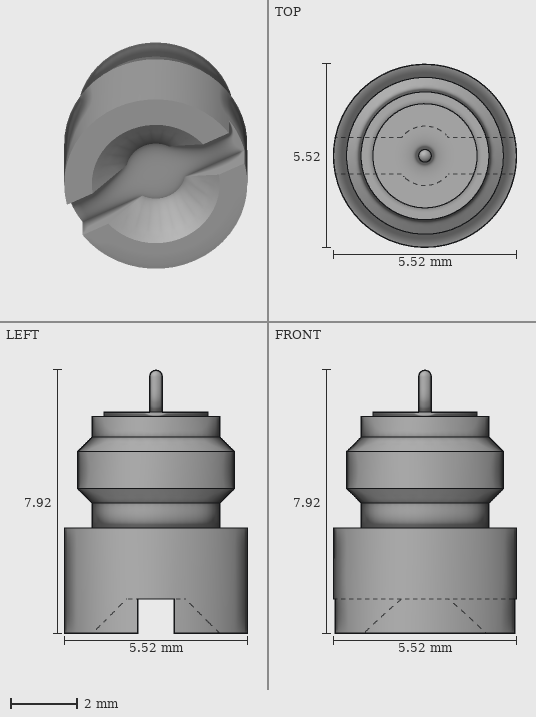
import cadquery as cq

body_radius = 2.76
neck_radius = 1.925
collar_radius = 2.36
insulator_radius = 1.57
pin_radius = 0.19

body_top = 3.175
collar_bottom = 3.92
collar_top = 5.91
neck_top = 6.535
insulator_top = 6.66
pin_top = 7.92

slot_width = 1.09
slot_height = 1.03

recess_mouth_radius = 1.925
recess_floor_radius = recess_mouth_radius - slot_height

shoulder = collar_radius - neck_radius


def cylinder(radius, bottom, top):
    return cq.Workplane("XY").workplane(offset=bottom).circle(radius).extrude(top - bottom)


body = cylinder(body_radius, 0, body_top)
neck = cylinder(neck_radius, body_top, neck_top)
collar = cylinder(collar_radius, collar_bottom, collar_top).edges().chamfer(shoulder)
insulator = cylinder(insulator_radius, neck_top, insulator_top)

pin_shaft = cylinder(pin_radius, insulator_top, pin_top - pin_radius)
pin_tip = cq.Workplane("XY").sphere(pin_radius).translate((0, 0, pin_top - pin_radius))

slot = cq.Workplane("XY").box(
    2 * body_radius, slot_width, slot_height, centered=(True, True, False)
)

recess = cq.Workplane("XY").add(
    cq.Solid.makeCone(recess_mouth_radius, recess_floor_radius, slot_height)
)

body = body.cut(slot).cut(recess)
pin = pin_shaft.union(pin_tip)
result = body.union(neck).union(collar).union(insulator).union(pin)